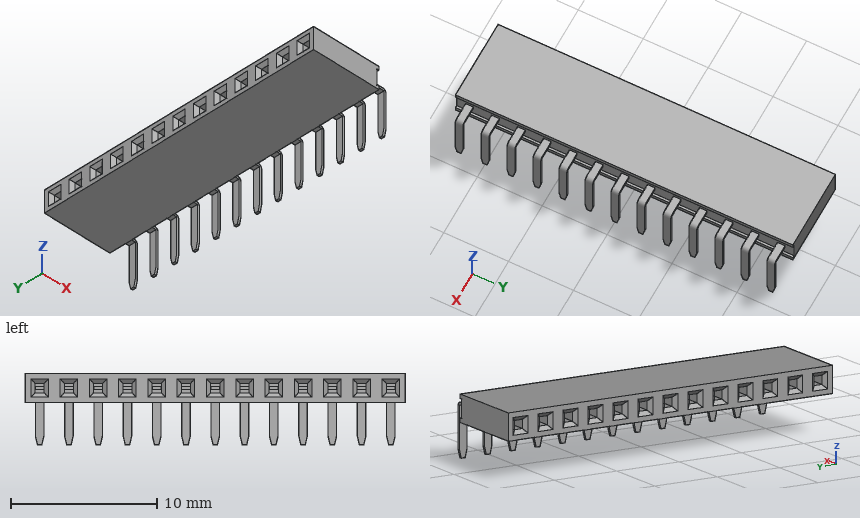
import cadquery as cq

housing_length = 26.0
housing_depth = 6.35
housing_height = 2.0
mid_height = housing_height / 2

channel_depth = 0.18
channel_lip = 0.3

contact_count = 13
pitch = 2.0
first_contact_y = -pitch * (contact_count - 1) / 2

mouth_width = 1.2
mouth_height = 1.25
bore_width = 0.62
bore_height = 0.65
funnel_depth = 0.29
bore_depth = housing_depth / 2

pin_width = 0.6
pin_thickness = 0.2
pin_start = 2.08
pin_reach = 7.72
pin_drop = 2.89
bend_radius = 0.3
tip_length = 0.6
tip_width = 0.3


def make_housing():
    """Plain bar with a channel along its back face."""
    centering = (False, True, False)
    channel_height = housing_height - 2 * channel_lip
    bar = cq.Workplane("XY").box(housing_depth, housing_length, housing_height, centered=centering)
    channel = (
        cq.Workplane("XY", origin=(housing_depth - channel_depth, 0, channel_lip))
        .box(channel_depth, housing_length, channel_height, centered=centering)
    )
    return bar.cut(channel)


def make_socket(y):
    """Tapered mouth that narrows to a rectangular bore."""
    funnel = (
        cq.Workplane("YZ", origin=(0, y, mid_height))
        .rect(mouth_width, mouth_height)
        .workplane(offset=funnel_depth)
        .rect(bore_width, bore_height)
        .loft(ruled=True)
    )
    bore = (
        cq.Workplane("YZ", origin=(funnel_depth, y, mid_height))
        .rect(bore_width, bore_height)
        .extrude(bore_depth - funnel_depth)
    )
    return funnel.union(bore)


def make_pin(y):
    """Flat strip from inside the bore out through the back, bent down to a tapered tip."""
    top = mid_height + pin_thickness / 2
    tip_start = tip_length - pin_drop
    strip = (
        cq.Workplane("XZ", origin=(0, y + pin_width / 2, 0))
        .moveTo(pin_start, top)
        .lineTo(pin_reach - bend_radius, top)
        .radiusArc((pin_reach, top - bend_radius), bend_radius)
        .lineTo(pin_reach, tip_start)
        .lineTo(pin_reach - pin_thickness, tip_start)
        .lineTo(pin_reach - pin_thickness, top - pin_thickness)
        .lineTo(pin_start, top - pin_thickness)
        .close()
        .extrude(pin_width)
    )
    tip = (
        cq.Workplane("YZ", origin=(pin_reach - pin_thickness, y, 0))
        .moveTo(-pin_width / 2, tip_start)
        .lineTo(-tip_width / 2, -pin_drop)
        .lineTo(tip_width / 2, -pin_drop)
        .lineTo(pin_width / 2, tip_start)
        .close()
        .extrude(pin_thickness)
    )
    return strip.union(tip)


result = make_housing()
contact_places = [first_contact_y + i * pitch for i in range(contact_count)]
for place in contact_places:
    result = result.cut(make_socket(place))
for place in contact_places:
    result = result.union(make_pin(place))